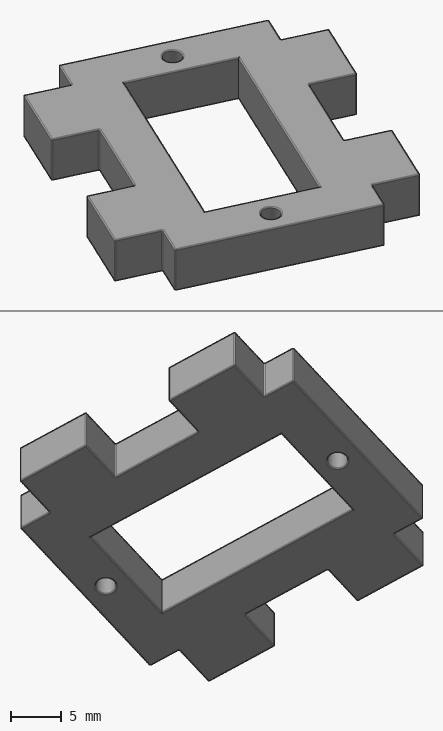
import cadquery as cq

frame_length = 33.0
overall_width = 32.0
thickness = 5.0

tab_length = 8.0
tab_reach = 5.0
tab_gap = 10.0
frame_width = overall_width - 2 * tab_reach
tab_offset = (tab_gap + tab_length) / 2

window_length = 23.0
window_width = 12.0
hole_diameter = 2.0
hole_spacing = 28.02

edge_radius = 0.13


def centred_box(length, width):
    return cq.Workplane("XY").box(length, width, thickness)


def plate_outline():
    """Frame block crossed by two bars whose ends form the tabs."""
    plate = centred_box(frame_length, frame_width)
    for side in (-1, 1):
        bar = centred_box(tab_length, overall_width)
        plate = plate.union(bar.translate((side * tab_offset, 0, 0)))
    return plate


def round_upright_corners(plate):
    """Round every upright corner of the outline, outside and inside alike."""
    return plate.edges("|Z").fillet(edge_radius)


def cut_openings(plate):
    """Cut the window and both holes right through."""
    plate = plate.cut(centred_box(window_length, window_width))
    holes = (
        cq.Workplane("XY")
        .pushPoints([(-hole_spacing / 2, 0), (hole_spacing / 2, 0)])
        .circle(hole_diameter / 2)
        .extrude(thickness, both=True)
    )
    return plate.cut(holes)


def round_face_rims(plate):
    """Round every edge of the top and bottom faces, openings included."""
    return plate.faces("<Z or >Z").edges().fillet(edge_radius)


outer_plate = round_upright_corners(plate_outline())
result = round_face_rims(cut_openings(outer_plate))